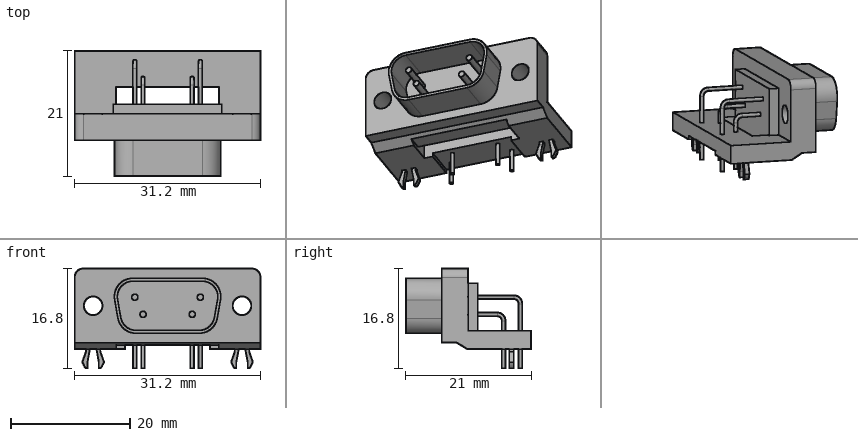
import cadquery as cq
import math


length = 31.2
flange_height = 13.55
flange_thickness = 4.43
flange_bottom = 1.1
flange_corner_radius = 1.5
base_back = 15.0
base_height = 3.12
slope_front = 2.45
slope_back = 4.27

axis_height = 7.27
hole_offset = 12.48
hole_diameter = 3.1

insert_half_width = 9.1
insert_back = 6.08
insert_top = 11.08

window_half_width = 8.6
window_back = 8.92
channel_half_width = 7.1
channel_height = 0.65

shell_length = 6.0
shell_height = 9.25
shell_radius = 3.1
shell_top_arc_offset = 5.85
shell_wall = 0.5
shell_slant = math.radians(10)
cavity_floor = shell_wall

pin_diameter = 1.03
pin_tip = -(shell_length - shell_wall)
wire_diameter = 0.65
wire_bend_radius = 1.1
tail_length = 3.25
row_half_spacing = 1.45
upper_row_x = 5.5
upper_row_tail_y = 13.2
lower_row_x = 4.12
lower_row_tail_y = 10.4

clip_y = 11.7
clip_thickness = 0.8
clip_root_inner = 0.53
clip_root_outer = 1.22
clip_root_depth = 0.4
clip_barb_offset = 1.85
clip_barb_depth = 2.18
clip_nose_offset = 1.53
clip_nose_depth = 2.78
clip_nose_arc_point = (1.3, -3.12)
clip_tip_inner = 0.95


def box(x_min, x_max, y_min, y_max, z_min, z_max):
    """Box given by its limits along each axis."""
    size = (x_max - x_min, y_max - y_min, z_max - z_min)
    return cq.Workplane("XY").box(*size, centered=False).translate((x_min, y_min, z_min))


def make_housing():
    """L-shaped body: upright flange, flat base and a sloped step under the flange."""
    profile = [
        (0, flange_bottom),
        (slope_front, flange_bottom),
        (slope_back, 0),
        (base_back, 0),
        (base_back, base_height),
        (flange_thickness, base_height),
        (flange_thickness, flange_height),
        (0, flange_height),
    ]
    housing = cq.Workplane("YZ").polyline(profile).close().extrude(length / 2, both=True)
    housing = housing.edges("|Y and >Z").fillet(flange_corner_radius)
    insert = box(-insert_half_width, insert_half_width, 0, insert_back, base_height, insert_top)
    return housing.union(insert)


def make_base_openings():
    """Window behind the insert, the recess leading to it, and a channel to the back."""
    window = box(-window_half_width, window_half_width, insert_back, window_back, 0, base_height)
    recess = box(-window_half_width, window_half_width, 0, window_back, 0, channel_height)
    channel = box(-channel_half_width, channel_half_width, 0, base_back, 0, channel_height)
    return window.union(recess).union(channel)


def make_mounting_holes():
    return (
        cq.Workplane("XZ", origin=(0, 0, axis_height))
        .pushPoints([(-hole_offset, 0), (hole_offset, 0)])
        .circle(hole_diameter / 2)
        .extrude(-flange_thickness)
    )


def make_d_prism(inset, y_front, y_back):
    """Rounded D prism; a larger inset gives a parallel, smaller outline."""
    radius = shell_radius - inset
    arc_z = shell_height / 2 - shell_radius
    top_arc_x = shell_top_arc_offset
    bottom_arc_x = top_arc_x - 2 * arc_z * math.tan(shell_slant)
    side_normal = (math.cos(shell_slant), -math.sin(shell_slant))
    top_mid_angle = (math.pi / 2 - shell_slant) / 2
    bottom_mid_angle = -(math.pi / 2 + shell_slant) / 2

    def on_arc(center_x, center_z, direction):
        return (center_x + radius * direction[0], center_z + radius * direction[1])

    def heading(angle):
        return (math.cos(angle), math.sin(angle))

    top_start = on_arc(top_arc_x, arc_z, (0, 1))
    top_mid = on_arc(top_arc_x, arc_z, heading(top_mid_angle))
    top_end = on_arc(top_arc_x, arc_z, side_normal)
    bottom_start = on_arc(bottom_arc_x, -arc_z, side_normal)
    bottom_mid = on_arc(bottom_arc_x, -arc_z, heading(bottom_mid_angle))
    bottom_end = on_arc(bottom_arc_x, -arc_z, (0, -1))
    half = (
        cq.Workplane("XZ", origin=(0, y_front, axis_height))
        .moveTo(0, top_start[1])
        .lineTo(*top_start)
        .threePointArc(top_mid, top_end)
        .lineTo(*bottom_start)
        .threePointArc(bottom_mid, bottom_end)
        .lineTo(0, bottom_end[1])
        .close()
        .extrude(y_front - y_back)
    )
    return half.union(half.mirror("YZ"))


def make_contact(x, z, tail_y):
    """Thick pin at the front, thin wire bent down through the base at the back."""
    pin = (
        cq.Workplane("XZ", origin=(x, pin_tip, z))
        .circle(pin_diameter / 2)
        .extrude(pin_tip - flange_thickness)
    )
    diagonal = wire_bend_radius * (1 - math.sqrt(0.5))
    path = (
        cq.Workplane("YZ", origin=(x, 0, 0))
        .moveTo(flange_thickness, z)
        .lineTo(tail_y - wire_bend_radius, z)
        .threePointArc((tail_y - diagonal, z - diagonal), (tail_y, z - wire_bend_radius))
        .lineTo(tail_y, -tail_length)
    )
    wire = cq.Workplane("XZ", origin=(x, flange_thickness, z)).circle(wire_diameter / 2).sweep(path)
    return pin.union(wire)


def make_clip_prong():
    """Right-hand prong of a clip centred on X = 0."""
    return (
        cq.Workplane("XZ", origin=(0, clip_y + clip_thickness / 2, 0))
        .moveTo(clip_root_inner, 0)
        .lineTo(clip_root_outer, 0)
        .lineTo(clip_root_outer, -clip_root_depth)
        .lineTo(clip_barb_offset, -clip_barb_depth)
        .lineTo(clip_nose_offset, -clip_nose_depth)
        .threePointArc(clip_nose_arc_point, (clip_tip_inner, -tail_length))
        .lineTo(clip_tip_inner, -clip_barb_depth)
        .close()
        .extrude(clip_thickness)
    )


result = make_housing()
result = result.union(make_d_prism(0, -shell_length, 0))
result = result.cut(make_d_prism(shell_wall, -shell_length, cavity_floor))
result = result.cut(make_base_openings()).cut(make_mounting_holes())

prong = make_clip_prong()
clip = prong.union(prong.mirror("YZ"))
for side in (-1, 1):
    upper = make_contact(side * upper_row_x, axis_height + row_half_spacing, upper_row_tail_y)
    lower = make_contact(side * lower_row_x, axis_height - row_half_spacing, lower_row_tail_y)
    result = result.union(upper).union(lower)
    result = result.union(clip.translate((side * hole_offset, 0, 0)))